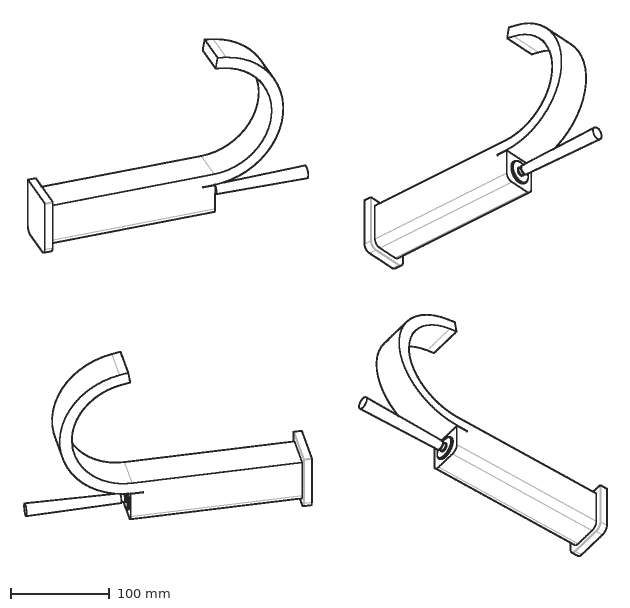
import cadquery as cq
import math

PLATE_WIDTH = 50.29
PLATE_HEIGHT = 62.0
PLATE_THICKNESS = 8.9
PLATE_CORNER_RADIUS = 7.6
PLATE_EDGE_RADIUS = 0.8

OVERALL_HEIGHT = 191.76
STRIP_WIDTH = 38.1
STRIP_THICKNESS = 12.7
BEND_OUTER_RADIUS = 75.0
BEND_START_Y = 185.5
LIP_ANGLE = 10.0
LIP_LENGTH = 9.4

BODY_END_Y = 186.7
BODY_BOTTOM_Z = 5.6
BODY_CORNER_RADIUS = 7.4
CAP_LENGTH = 13.0
CAP_GAP = 0.6

OVERALL_LENGTH = 292.1
LEVER_AXIS_Z = 23.3
COLLAR_DIAMETER = 25.0
COLLAR_LENGTH = 2.0
COLLAR_CHAMFER = 0.8
HUB_DIAMETER = 9.4
HUB_LENGTH = 2.9
NECK_DIAMETER = 8.2
HANDLE_START_Y = 193.4
HANDLE_ROOT_DIAMETER = 10.2
HANDLE_TIP_DIAMETER = 13.4

lip_sin = math.sin(math.radians(LIP_ANGLE))
lip_cos = math.cos(math.radians(LIP_ANGLE))
bend_center_z = OVERALL_HEIGHT - BEND_OUTER_RADIUS * lip_cos - LIP_LENGTH * lip_sin
strip_bottom_z = bend_center_z - BEND_OUTER_RADIUS


def block_with_round_foot(width, bottom_z, top_z, corner_radius, start_y, end_y):
    """Upright block along Y with its two lower lengthwise edges rounded."""
    length = end_y - start_y
    height = top_z - bottom_z
    block = cq.Workplane("XY").box(width, length, height, centered=(True, False, False))
    block = block.edges("|Y and <Z").fillet(corner_radius)
    return block.translate((0, start_y, bottom_z))


def lever_disc(diameter, y):
    """Circle sketched at distance y along the lever axis, ready to extrude toward +Y."""
    plane = cq.Plane(origin=(0, y, LEVER_AXIS_Z), xDir=(-1, 0, 0), normal=(0, 1, 0))
    return cq.Workplane(plane).circle(diameter / 2)


def make_plate():
    plate = block_with_round_foot(PLATE_WIDTH, 0, PLATE_HEIGHT, PLATE_CORNER_RADIUS, 0, PLATE_THICKNESS)
    plate = plate.edges("|Y and >Z").fillet(PLATE_EDGE_RADIUS)
    return plate.faces(">Y").edges().fillet(PLATE_EDGE_RADIUS)


def bend_point(radius, along_lip):
    """End of the bend at the given radius, moved forward along the straight lip."""
    y = BEND_START_Y + radius * lip_sin - along_lip * lip_cos
    z = bend_center_z + radius * lip_cos + along_lip * lip_sin
    return (y, z)


def bend_middle(radius):
    half_sweep = math.radians((180 - LIP_ANGLE) / 2)
    y = BEND_START_Y + radius * math.sin(half_sweep)
    z = bend_center_z - radius * math.cos(half_sweep)
    return (y, z)


def make_strip():
    inner_radius = BEND_OUTER_RADIUS - STRIP_THICKNESS
    start_y = PLATE_THICKNESS / 2
    outline = (
        cq.Workplane("YZ")
        .moveTo(start_y, strip_bottom_z)
        .lineTo(BEND_START_Y, strip_bottom_z)
        .threePointArc(bend_middle(BEND_OUTER_RADIUS), bend_point(BEND_OUTER_RADIUS, 0))
        .lineTo(*bend_point(BEND_OUTER_RADIUS, LIP_LENGTH))
        .lineTo(*bend_point(inner_radius, LIP_LENGTH))
        .lineTo(*bend_point(inner_radius, 0))
        .threePointArc(bend_middle(inner_radius), (BEND_START_Y, strip_bottom_z + STRIP_THICKNESS))
        .lineTo(start_y, strip_bottom_z + STRIP_THICKNESS)
        .close()
    )
    return outline.extrude(STRIP_WIDTH / 2, both=True)


def make_body():
    cap_start_y = BODY_END_Y - CAP_LENGTH
    body = block_with_round_foot(
        STRIP_WIDTH, BODY_BOTTOM_Z, strip_bottom_z, BODY_CORNER_RADIUS, PLATE_THICKNESS / 2, cap_start_y
    )
    cap = block_with_round_foot(
        STRIP_WIDTH, BODY_BOTTOM_Z, strip_bottom_z - CAP_GAP, BODY_CORNER_RADIUS, cap_start_y, BODY_END_Y
    )
    return body.union(cap)


def make_lever():
    handle_length = OVERALL_LENGTH - HANDLE_START_Y
    collar = lever_disc(COLLAR_DIAMETER, BODY_END_Y).extrude(COLLAR_LENGTH)
    collar = collar.faces(">Y").edges().chamfer(COLLAR_CHAMFER)
    hub = lever_disc(HUB_DIAMETER, BODY_END_Y).extrude(HUB_LENGTH)
    neck = lever_disc(NECK_DIAMETER, BODY_END_Y).extrude(HANDLE_START_Y - BODY_END_Y)
    handle = (
        lever_disc(HANDLE_ROOT_DIAMETER, HANDLE_START_Y)
        .workplane(offset=handle_length)
        .circle(HANDLE_TIP_DIAMETER / 2)
        .loft()
    )
    return collar.union(hub).union(neck).union(handle)


result = make_plate().union(make_strip()).union(make_body()).union(make_lever())